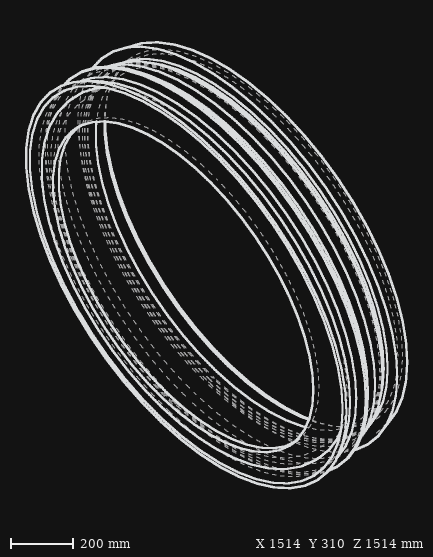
import cadquery as cq
import math

width = 310.0
outer_radius = 757.0

core_outer_radius = 1400.0 / 2
core_inner_radius = 1350.0 / 2
core_thickness = core_outer_radius - core_inner_radius
lip_radius = 1230.0 / 2
bend_radius = 53.0
bend_center_radius = core_outer_radius - bend_radius

inner_bend_radius = 58.0
inner_bend_center_radius = core_inner_radius - inner_bend_radius
inner_bend_end = core_thickness + inner_bend_radius

flare_front = 14.0
flare_back = 50.0
flare_rim_radius = 739.0
front_band_radius = 1470.0 / 2
channel_bottom = 70.0

ridge_start = 77.0
ridge_crest_start = 98.0
ridge_crest_end = 107.0
ridge_end = 130.0
wide_band_radius = 1465.0 / 2
wide_band_end = 162.0
taper_end = 210.0
taper_end_radius = 716.0

groove_step_end = 220.0
groove_step_radius = 702.0
groove_end = 230.0
flange_root_radius = 709.0

flange_start = 239.0
flange_radius = 754.0
flange_taper_end = 288.0
flange_taper_end_radius = 739.0
corner_radius = width - flange_taper_end
bore_cone_start = 244.0
bore_cone_end = 298.0
bore_cone_end_radius = 693.0
bore_mouth_radius = 702.0


def point_on_arc(center_radius, center_y, radius, angle):
    """Point in the (radius, y) half plane, with the angle measured from the radial direction."""
    return (center_radius + radius * math.cos(angle), center_y + radius * math.sin(angle))


EIGHTH_TURN = math.pi / 4
outer_bend_middle = point_on_arc(bend_center_radius, bend_radius, bend_radius, -EIGHTH_TURN)
inner_bend_middle = point_on_arc(
    inner_bend_center_radius, inner_bend_end, inner_bend_radius, -EIGHTH_TURN
)
corner_center_radius = flange_taper_end_radius - corner_radius
corner_middle = point_on_arc(corner_center_radius, flange_taper_end, corner_radius, EIGHTH_TURN)

section = (
    cq.Workplane("XY")
    .moveTo(lip_radius, 0)
    .lineTo(bend_center_radius, 0)
    .threePointArc(outer_bend_middle, (core_outer_radius, bend_radius))
    .lineTo(core_outer_radius, channel_bottom)
    .lineTo(flare_rim_radius, flare_front)
    .lineTo(outer_radius, flare_front)
    .lineTo(front_band_radius, flare_back)
    .lineTo(front_band_radius, ridge_start)
    .lineTo(outer_radius, ridge_crest_start)
    .lineTo(outer_radius, ridge_crest_end)
    .lineTo(wide_band_radius, ridge_end)
    .lineTo(wide_band_radius, wide_band_end)
    .lineTo(taper_end_radius, taper_end)
    .lineTo(groove_step_radius, taper_end)
    .lineTo(groove_step_radius, groove_step_end)
    .lineTo(core_outer_radius, groove_step_end)
    .lineTo(core_outer_radius, groove_end)
    .lineTo(flange_root_radius, flange_start)
    .lineTo(flange_radius, flange_start)
    .lineTo(flange_taper_end_radius, flange_taper_end)
    .threePointArc(corner_middle, (corner_center_radius, width))
    .lineTo(bore_mouth_radius, width)
    .lineTo(bore_cone_end_radius, bore_cone_end)
    .lineTo(core_inner_radius, bore_cone_start)
    .lineTo(core_inner_radius, inner_bend_end)
    .threePointArc(inner_bend_middle, (inner_bend_center_radius, core_thickness))
    .lineTo(lip_radius, core_thickness)
    .close()
)

result = section.revolve(360, (0, 0, 0), (0, 1, 0))